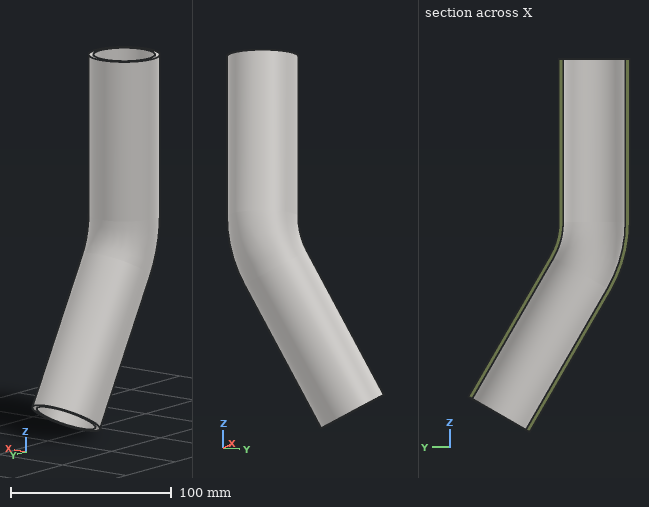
import cadquery as cq
import math

OUTER_DIAMETER = 44.45
INNER_DIAMETER = 38.35

LEG_LENGTH = 101.6
BEND_RADIUS = 63.5
BEND_ANGLE = 30.0


def bend_point(angle_degrees):
    """Centreline point (Y, Z) after turning by the given angle; the bend starts at the origin."""
    angle = math.radians(angle_degrees)
    return (BEND_RADIUS * (1 - math.cos(angle)), -BEND_RADIUS * math.sin(angle))


def make_centreline():
    """Path in the YZ plane from the upper open end to the lower open end."""
    bend_end_y, bend_end_z = bend_point(BEND_ANGLE)
    bend_angle = math.radians(BEND_ANGLE)
    lower_end = (
        bend_end_y + LEG_LENGTH * math.sin(bend_angle),
        bend_end_z - LEG_LENGTH * math.cos(bend_angle),
    )
    return (
        cq.Workplane("YZ")
        .moveTo(0, LEG_LENGTH)
        .lineTo(0, 0)
        .threePointArc(bend_point(BEND_ANGLE / 2), (bend_end_y, bend_end_z))
        .lineTo(*lower_end)
    )


def make_tube():
    """Sweep the ring section along the centreline, leaving the bore open at both ends."""
    ring = (
        cq.Workplane("XY")
        .workplane(offset=LEG_LENGTH)
        .circle(OUTER_DIAMETER / 2)
        .circle(INNER_DIAMETER / 2)
    )
    return ring.sweep(make_centreline())


result = make_tube()